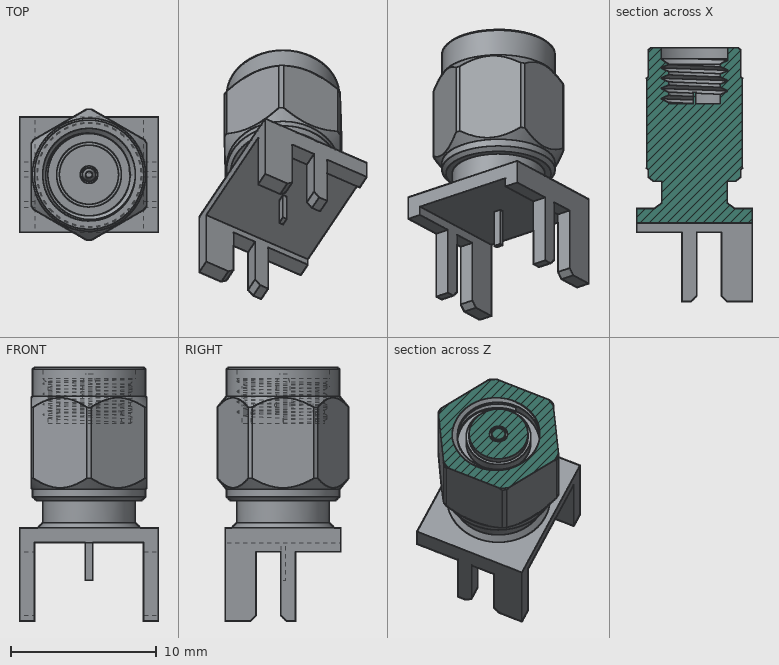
import cadquery as cq
import math

TOTAL_HEIGHT = 17.42
BASE_TOP = 6.4
BASE_SIDE_BOTTOM = 4.75
CHANNEL_TOP = 5.38

BASE_LENGTH = 9.53
BASE_WIDTH = 7.93
LEG_THICKNESS = 1.03
WIDE_LEG_WIDTH = 2.13
NARROW_LEG_WIDTH = 1.03
NARROW_LEG_FRONT = -0.15
LEG_CHAMFER = 0.4

PIN_WIDTH = 0.54
PIN_THICKNESS = 0.3
PIN_BOTTOM = 2.8

NECK_DIAMETER = 6.35
FLARE_HEIGHT = 0.37

COLLAR_DIAMETER = 7.77
NUT_BOTTOM = 8.25
COLLAR_BOTTOM_CHAMFER = 0.28
COLLAR_TOP_CHAMFER = 0.14
HEX_BOTTOM = 9.04
HEX_TOP = 15.43
HEX_ACROSS_FLATS = 7.95
HEX_CORNER_DIAMETER = 8.99
HEX_BEVEL_HEIGHT = 0.75

BORE_DIAMETER = 6.35
BORE_DEPTH = 0.77
THREAD_MINOR_DIAMETER = 5.65
SOCKET_DEPTH = 3.83
THREAD_PITCH = 0.705
THREAD_OPENING = 0.479
THREAD_OVERLAP = 0.03
THREAD_START_DEPTH = 3.59
THREAD_TURNS = 4

SHOULDER_DIAMETER = 4.45
SHOULDER_DEPTH = 3.05
INSULATOR_DIAMETER = 4.06
INSULATOR_DEPTH = 2.5
CLEARANCE_DIAMETER = 1.2
CLEARANCE_DEPTH = 0.26
CONTACT_DIAMETER = 0.94
CONTACT_TIP_DIAMETER = 0.45
CONTACT_TIP_DEPTH = 0.44
CONTACT_TIP_LENGTH = 0.87


def cylinder(diameter, bottom, top):
    return cq.Workplane("XY").workplane(offset=bottom).circle(diameter / 2).extrude(top - bottom)


def revolve_profile(points):
    """Turn a closed (radius, height) outline around the Z axis."""
    return cq.Workplane("XZ").polyline(points).close().revolve(360, (0, 0, 0), (0, 1, 0))


def make_base():
    """Plate with a channel along Y, standing on a wide and a narrow leg at each X side."""
    front = -BASE_WIDTH / 2
    back = BASE_WIDTH / 2
    wide_back = front + WIDE_LEG_WIDTH
    narrow_front = NARROW_LEG_FRONT
    narrow_back = narrow_front + NARROW_LEG_WIDTH
    outline = [
        (front, BASE_TOP),
        (front, 0),
        (wide_back - LEG_CHAMFER, 0),
        (wide_back, LEG_CHAMFER),
        (wide_back, BASE_SIDE_BOTTOM),
        (narrow_front, BASE_SIDE_BOTTOM),
        (narrow_front, LEG_CHAMFER),
        (narrow_front + LEG_CHAMFER, 0),
        (narrow_back, 0),
        (narrow_back, BASE_SIDE_BOTTOM),
        (back, BASE_SIDE_BOTTOM),
        (back, BASE_TOP),
    ]
    base = cq.Workplane("YZ").polyline(outline).close().extrude(BASE_LENGTH / 2, both=True)
    channel_width = BASE_LENGTH - 2 * LEG_THICKNESS
    channel = cq.Workplane("XY").rect(channel_width, BASE_WIDTH).extrude(CHANNEL_TOP)
    pin = (
        cq.Workplane("XY")
        .workplane(offset=PIN_BOTTOM)
        .rect(PIN_WIDTH, PIN_THICKNESS)
        .extrude(BASE_TOP - PIN_BOTTOM)
    )
    return base.cut(channel).union(pin)


def make_neck():
    """Round neck with a conical flare at its foot."""
    neck_radius = NECK_DIAMETER / 2
    return revolve_profile([
        (0, BASE_TOP),
        (neck_radius + FLARE_HEIGHT, BASE_TOP),
        (neck_radius, BASE_TOP + FLARE_HEIGHT),
        (neck_radius, NUT_BOTTOM),
        (0, NUT_BOTTOM),
    ])


def make_nut():
    """Round collar carrying a hexagon with bevelled and blunted corners."""
    collar = (
        cylinder(COLLAR_DIAMETER, NUT_BOTTOM, TOTAL_HEIGHT)
        .faces("<Z").chamfer(COLLAR_BOTTOM_CHAMFER)
        .faces(">Z").chamfer(COLLAR_TOP_CHAMFER)
    )
    across_corners = HEX_ACROSS_FLATS / math.cos(math.pi / 6)
    hexagon = (
        cq.Workplane("XY")
        .workplane(offset=HEX_BOTTOM)
        .transformed(rotate=(0, 0, 30))
        .polygon(6, across_corners)
        .extrude(HEX_TOP - HEX_BOTTOM)
    )
    collar_radius = COLLAR_DIAMETER / 2
    corner_radius = HEX_CORNER_DIAMETER / 2
    envelope = revolve_profile([
        (0, HEX_BOTTOM),
        (collar_radius, HEX_BOTTOM),
        (corner_radius, HEX_BOTTOM + HEX_BEVEL_HEIGHT),
        (corner_radius, HEX_TOP - HEX_BEVEL_HEIGHT),
        (collar_radius, HEX_TOP),
        (0, HEX_TOP),
    ])
    return collar.union(hexagon.intersect(envelope))


def make_socket():
    """Socket space: entry bore, 45 degree lead-in and minor bore."""
    bore_radius = BORE_DIAMETER / 2
    minor_radius = THREAD_MINOR_DIAMETER / 2
    lead_in_top = TOTAL_HEIGHT - BORE_DEPTH
    lead_in_bottom = lead_in_top - (bore_radius - minor_radius)
    outline = [
        (0, TOTAL_HEIGHT),
        (bore_radius, TOTAL_HEIGHT),
        (bore_radius, lead_in_top),
        (minor_radius, lead_in_bottom),
    ]
    floor_z = TOTAL_HEIGHT - SOCKET_DEPTH
    outline += [(minor_radius, floor_z), (0, floor_z)]
    return revolve_profile(outline)


def make_thread_turn():
    """Lowest turn of the right-handed helical V groove, reaching slightly inside the minor diameter."""
    root_radius = BORE_DIAMETER / 2
    minor_radius = THREAD_MINOR_DIAMETER / 2
    inner_radius = minor_radius - THREAD_OVERLAP
    flank_slope = THREAD_OPENING / 2 / (root_radius - minor_radius)
    half_opening = flank_slope * (root_radius - inner_radius)
    path = cq.Wire.makeHelix(THREAD_PITCH, THREAD_PITCH, inner_radius)
    turn = (
        cq.Workplane("XZ")
        .polyline([(inner_radius, -half_opening), (root_radius, 0), (inner_radius, half_opening)])
        .close()
        .sweep(cq.Workplane(obj=path), isFrenet=True)
    )
    start_z = TOTAL_HEIGHT - THREAD_START_DEPTH
    return turn.translate((0, 0, start_z))


def make_insulator():
    """Stepped insulator with a clearance recess around the contact."""
    floor_z = TOTAL_HEIGHT - SOCKET_DEPTH
    insulator_top = TOTAL_HEIGHT - INSULATOR_DEPTH
    shoulder = cylinder(SHOULDER_DIAMETER, floor_z, TOTAL_HEIGHT - SHOULDER_DEPTH)
    insulator = cylinder(INSULATOR_DIAMETER, floor_z, insulator_top)
    recess = cylinder(CLEARANCE_DIAMETER, insulator_top - CLEARANCE_DEPTH, insulator_top)
    return shoulder.union(insulator).cut(recess)


def make_contact():
    """Centre contact with a rounded, flat-ended nose."""
    radius = CONTACT_DIAMETER / 2
    tip_radius = CONTACT_TIP_DIAMETER / 2
    tip_z = TOTAL_HEIGHT - CONTACT_TIP_DEPTH
    nose_z = tip_z - CONTACT_TIP_LENGTH
    floor_z = TOTAL_HEIGHT - SOCKET_DEPTH
    inset = radius - tip_radius
    arc_radius = (inset**2 + CONTACT_TIP_LENGTH**2) / (2 * inset)
    half_angle = math.asin(CONTACT_TIP_LENGTH / arc_radius) / 2
    arc_middle = (
        radius - arc_radius * (1 - math.cos(half_angle)),
        nose_z + arc_radius * math.sin(half_angle),
    )
    return (
        cq.Workplane("XZ")
        .moveTo(0, floor_z)
        .lineTo(radius, floor_z)
        .lineTo(radius, nose_z)
        .threePointArc(arc_middle, (tip_radius, tip_z))
        .lineTo(0, tip_z)
        .close()
        .revolve(360, (0, 0, 0), (0, 1, 0))
    )


nut = make_nut().cut(make_socket())
thread_turn = make_thread_turn()
for turn_index in range(THREAD_TURNS):
    nut = nut.cut(thread_turn.translate((0, 0, turn_index * THREAD_PITCH)))

result = make_base().union(make_neck()).union(nut).union(make_insulator()).union(make_contact())